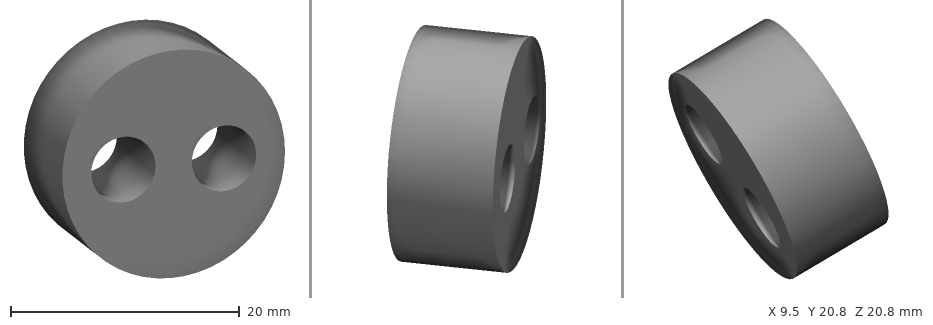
import cadquery as cq

disc_diameter = 20.8
disc_thickness = 9.5
hole_diameter = 6.0
hole_spacing = 9.4

disc = cq.Workplane("YZ").circle(disc_diameter / 2).extrude(disc_thickness)

hole_centres = [(-hole_spacing / 2, 0), (hole_spacing / 2, 0)]
result = disc.faces(">X").workplane(origin=(0, 0, 0)).pushPoints(hole_centres).hole(hole_diameter)